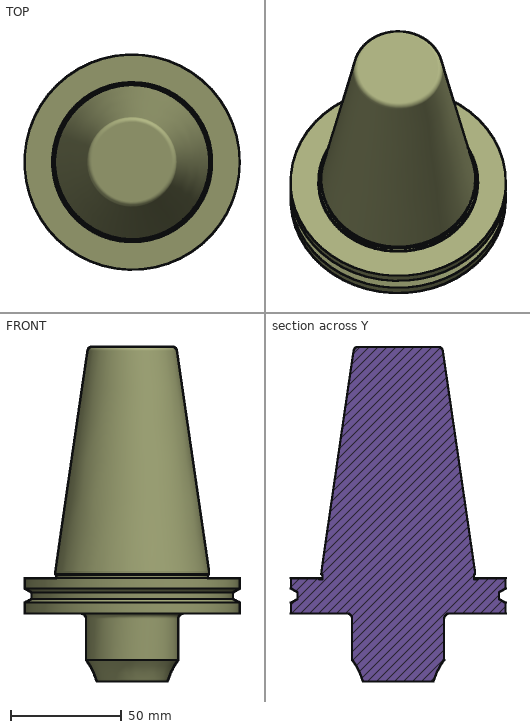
import cadquery as cq
import math

total_height = 151.8

nose_tip_radius = 16.0
nose_edge_radius = 16.4
nose_edge_height = 0.9
nose_height = 9.9
nose_sag = 0.5
shank_radius = 21.0
shank_fillet = 2.3

flange_bottom = 30.8
flange_top = 46.9
flange_radius = 48.79
groove_floor_radius = 45.7
groove_mouth_bottom = 35.8
groove_floor_bottom = 37.5
groove_floor_top = 40.4
groove_mouth_top = 42.2

relief_radius = 36.3
relief_depth = 0.5
relief_floor_radius = 35.7

neck_radius = 34.5
neck_top = 48.3
collar_bottom = 48.9
gauge_height = 50.0
gauge_radius = 34.9
taper_ratio = 7 / 24
top_fillet = 2.3

taper_top_radius = gauge_radius - (total_height - gauge_height) * taper_ratio / 2


def nose_curve_middle():
    """Point halfway along the concave nose, set in from its chord by the sag."""
    run = shank_radius - nose_edge_radius
    rise = nose_height - nose_edge_height
    chord = math.hypot(run, rise)
    radius = (shank_radius + nose_edge_radius) / 2 - nose_sag * rise / chord
    height = (nose_height + nose_edge_height) / 2 + nose_sag * run / chord
    return radius, height


def shank_fillet_middle():
    """Point halfway along the quarter-round between shank and flange."""
    reach = shank_fillet * (1 - math.sqrt(0.5))
    return shank_radius + reach, flange_bottom - reach


def make_body():
    """Revolve the half profile (radius, height) around the Z axis."""
    return (
        cq.Workplane("XZ")
        .lineTo(nose_tip_radius, 0)
        .lineTo(nose_edge_radius, nose_edge_height)
        .threePointArc(nose_curve_middle(), (shank_radius, nose_height))
        .lineTo(shank_radius, flange_bottom - shank_fillet)
        .threePointArc(shank_fillet_middle(), (shank_radius + shank_fillet, flange_bottom))
        .lineTo(flange_radius, flange_bottom)
        .lineTo(flange_radius, groove_mouth_bottom)
        .lineTo(groove_floor_radius, groove_floor_bottom)
        .lineTo(groove_floor_radius, groove_floor_top)
        .lineTo(flange_radius, groove_mouth_top)
        .lineTo(flange_radius, flange_top)
        .lineTo(relief_radius, flange_top)
        .lineTo(relief_floor_radius, flange_top - relief_depth)
        .lineTo(neck_radius, flange_top - relief_depth)
        .lineTo(neck_radius, neck_top)
        .lineTo(gauge_radius, collar_bottom)
        .lineTo(gauge_radius, gauge_height)
        .lineTo(taper_top_radius, total_height)
        .lineTo(0, total_height)
        .close()
        .revolve(360, (0, 0, 0), (0, 1, 0))
    )


result = make_body().faces(">Z").edges().fillet(top_fillet)